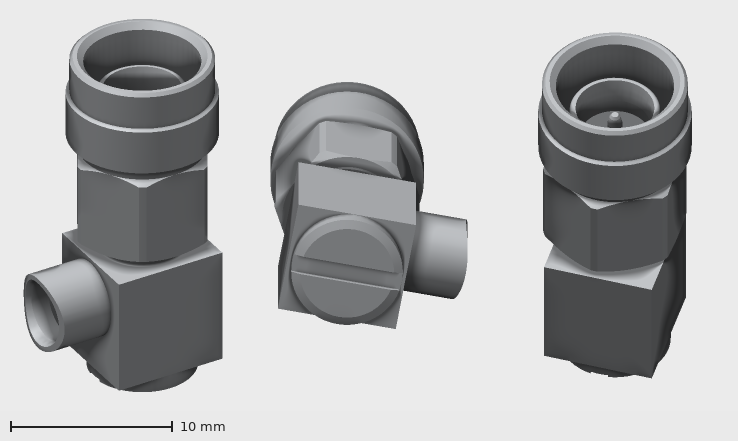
import cadquery as cq
import math


total_height = 22.55
block_bottom = 1.17
block_top = 8.9
flange_bottom = 9.67
hex_bottom = 10.05
hex_top = 16.05
groove_top = 16.55
collar_bottom = 16.95
collar_top = 20.07

cap_radius = 3.45
cap_face_radius = 2.9
cap_chamfer_height = 0.18
slot_width = 1.15
slot_depth = 0.34

block_width = 6.95
block_length = 7.4
neck_radius = 2.7
neck_fillet = 0.14
flange_radius = 3.35

hex_half_flats = 4.01
hex_corner_radius = 4.5
hex_chamfer_angle = 30.0
groove_radius = hex_half_flats
collar_diameter = 9.5
collar_radius = collar_diameter / 2
collar_chamfer_height = 0.14
rim_radius = 4.5
rim_chamfer = 0.2

mouth_radius = 4.04
bore_radius = 3.65
mouth_chamfer = mouth_radius - bore_radius
bore_floor_radius = 3.47
bore_floor = 17.14
bore_floor_chamfer = bore_radius - bore_floor_radius

sleeve_top = 20.25
sleeve_radius = 2.82
sleeve_fillet = 0.27
sleeve_mouth_radius = sleeve_radius - sleeve_fillet
sleeve_lip_radius = 2.44
sleeve_bore_radius = 2.19
sleeve_bore_top = 18.72
insulator_top = 17.81
flare_width = sleeve_lip_radius - sleeve_bore_radius
flare_height = sleeve_top - sleeve_bore_top
flare_radius = (flare_width**2 + flare_height**2) / (2 * flare_width)
pin_radius = 0.47
pin_nose_radius = 0.34
pin_tip_radius = 0.23
pin_shoulder = 18.95
pin_nose = 19.5
pin_top = 19.69

outlet_height = 6.1
outlet_radius = 2.5
overall_length = 12.2
outlet_reach = overall_length - collar_radius
outlet_mouth_radius = 2.19
outlet_bore_radius = 1.92
outlet_cone_depth = 0.63
outlet_bore_depth = 1.85


def revolve_z(sketch):
    """Revolve a closed (radius, height) outline about the Z axis."""
    return sketch.close().revolve(360, (0, 0, 0), (0, 1, 0))


def profile():
    return cq.Workplane("XZ")


def make_cap():
    cap = revolve_z(
        profile()
        .moveTo(0, 0)
        .lineTo(cap_face_radius, 0)
        .lineTo(cap_radius, cap_chamfer_height)
        .lineTo(cap_radius, block_bottom)
        .lineTo(0, block_bottom)
    )
    slot = cq.Workplane("XY").box(slot_width, 2 * cap_radius, 2 * slot_depth)
    return cap.cut(slot)


def make_block():
    block = cq.Workplane("XY").box(
        block_width, block_length, block_top - block_bottom, centered=(True, True, False)
    )
    return block.translate((0, 0, block_bottom))


def make_neck():
    """Round neck, filleted into the block and into the flange above it."""
    root_radius = neck_radius + neck_fillet
    return revolve_z(
        profile()
        .moveTo(0, block_top)
        .lineTo(root_radius, block_top)
        .radiusArc((neck_radius, block_top + neck_fillet), neck_fillet)
        .lineTo(neck_radius, flange_bottom - neck_fillet)
        .radiusArc((root_radius, flange_bottom), neck_fillet)
        .lineTo(flange_radius, flange_bottom)
        .lineTo(flange_radius, hex_bottom)
        .lineTo(0, hex_bottom)
    )


def make_hexagon():
    """Hexagon with flats facing +X and -X, turned corners and conical end chamfers."""
    corner_drop = (hex_corner_radius - hex_half_flats) * math.tan(math.radians(hex_chamfer_angle))
    prism = (
        cq.Workplane("XY", origin=(0, 0, hex_bottom))
        .polygon(6, 2 * hex_half_flats, circumscribed=True)
        .extrude(hex_top - hex_bottom)
    )
    turned_blank = revolve_z(
        profile()
        .moveTo(0, hex_bottom)
        .lineTo(hex_half_flats, hex_bottom)
        .lineTo(hex_corner_radius, hex_bottom + corner_drop)
        .lineTo(hex_corner_radius, hex_top - corner_drop)
        .lineTo(hex_half_flats, hex_top)
        .lineTo(0, hex_top)
    )
    return prism.intersect(turned_blank)


def make_collar():
    return revolve_z(
        profile()
        .moveTo(0, hex_top)
        .lineTo(groove_radius, hex_top)
        .lineTo(groove_radius, groove_top)
        .lineTo(collar_radius, collar_bottom)
        .lineTo(collar_radius, collar_top - collar_chamfer_height)
        .lineTo(rim_radius, collar_top)
        .lineTo(rim_radius, total_height - rim_chamfer)
        .lineTo(rim_radius - rim_chamfer, total_height)
        .lineTo(0, total_height)
    )


def make_socket():
    """Void inside the collar, down to its flat floor."""
    return revolve_z(
        profile()
        .moveTo(0, bore_floor)
        .lineTo(bore_floor_radius, bore_floor)
        .lineTo(bore_radius, bore_floor + bore_floor_chamfer)
        .lineTo(bore_radius, total_height - mouth_chamfer)
        .lineTo(mouth_radius, total_height)
        .lineTo(0, total_height)
    )


def make_contacts():
    """Sleeve with a rounded and flared lip, insulator floor and pointed centre pin."""
    return revolve_z(
        profile()
        .moveTo(0, bore_floor)
        .lineTo(sleeve_radius, bore_floor)
        .lineTo(sleeve_radius, sleeve_top - sleeve_fillet)
        .radiusArc((sleeve_mouth_radius, sleeve_top), -sleeve_fillet)
        .lineTo(sleeve_lip_radius, sleeve_top)
        .radiusArc((sleeve_bore_radius, sleeve_bore_top), -flare_radius)
        .lineTo(sleeve_bore_radius, insulator_top)
        .lineTo(pin_radius, insulator_top)
        .lineTo(pin_radius, pin_shoulder)
        .lineTo(pin_nose_radius, pin_nose)
        .lineTo(pin_tip_radius, pin_top)
        .lineTo(0, pin_top)
    )


def make_outlet():
    """Cable tube whose end is rounded about the main axis."""
    tube = cq.Workplane("XZ", origin=(0, 0, outlet_height)).circle(outlet_radius).extrude(outlet_reach)
    end_envelope = (
        cq.Workplane("XY", origin=(0, 0, outlet_height - outlet_radius))
        .circle(outlet_reach)
        .extrude(2 * outlet_radius)
    )
    return tube.intersect(end_envelope)


def make_outlet_bore():
    """Blind bore with a conical lead-in, turned about the outlet axis."""
    outline = (
        cq.Workplane("XY", origin=(0, 0, outlet_height))
        .moveTo(0, -outlet_reach)
        .lineTo(outlet_mouth_radius, -outlet_reach)
        .lineTo(outlet_bore_radius, outlet_cone_depth - outlet_reach)
        .lineTo(outlet_bore_radius, outlet_bore_depth - outlet_reach)
        .lineTo(0, outlet_bore_depth - outlet_reach)
        .close()
    )
    return outline.revolve(360, (0, 0, 0), (0, 1, 0))


result = (
    make_block()
    .union(make_cap())
    .union(make_neck())
    .union(make_hexagon())
    .union(make_collar())
    .cut(make_socket())
    .union(make_contacts())
    .union(make_outlet())
    .cut(make_outlet_bore())
)